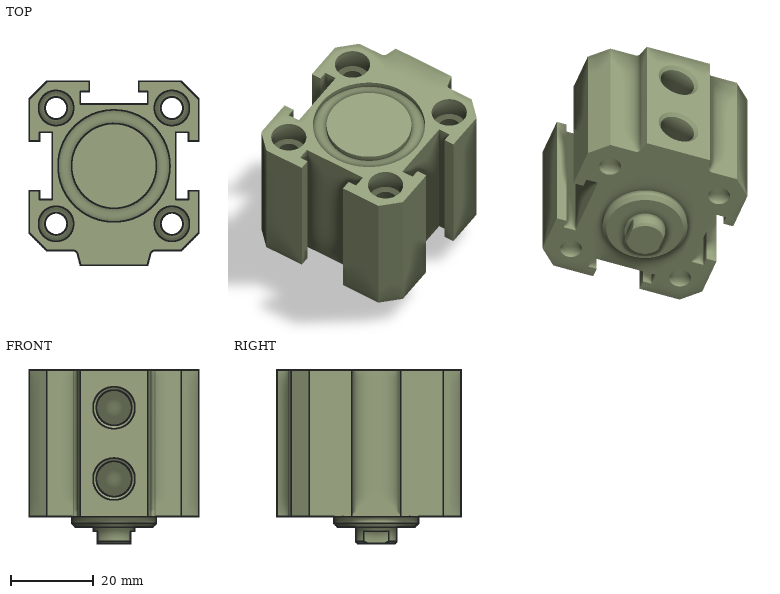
import cadquery as cq
import math


side = 41.0
half_side = side / 2
body_height = 35.5
corner_chamfer = 4.25
overall_depth = 44.5
boss_face_y = half_side - overall_depth
boss_half_width = 8.1
boss_flank_angle = 15.0
boss_root_radius = 1.0
root_margin = 0.45

slot_opening = 11.93
slot_inner_width = 16.2
slot_lip = 2.55
slot_depth = 5.5
slot_angles = (0, 90, 180)

mount_pitch = 28.0
mount_diameter = 5.3
counterbore_diameter = 8.5
counterbore_depth = 5.45

port_diameter = 8.55
port_mouth_diameter = 10.15
port_chamfer = (port_mouth_diameter - port_diameter) / 2
port_depth = 10.7
port_drops = (9.15, 26.4)

recess_diameter = 27.1
recess_depth = 1.5

rod_diameter = 20.5
rod_overhang = 2.5
rod_chamfer = 0.95
stem_diameter = 10.0
stem_length = 4.0
stem_chamfer = 0.55
stem_flats_width = 8.05
stem_round_length = 1.02


def make_profile():
    """Chamfered square column with the port boss on its -Y side."""
    block = (
        cq.Workplane("XY")
        .rect(side, side)
        .extrude(body_height)
        .edges("|Z")
        .chamfer(corner_chamfer)
    )
    boss_height = -half_side - boss_face_y
    boss_root_half = boss_half_width + boss_height * math.tan(math.radians(boss_flank_angle))
    boss = (
        cq.Workplane("XY")
        .polyline([
            (-boss_half_width, boss_face_y),
            (boss_half_width, boss_face_y),
            (boss_root_half, -half_side),
            (boss_root_half, 0),
            (-boss_root_half, 0),
            (-boss_root_half, -half_side),
        ])
        .close()
        .extrude(body_height)
    )
    root_edges = cq.selectors.BoxSelector(
        (-boss_root_half - root_margin, -half_side - root_margin, 0),
        (boss_root_half + root_margin, -half_side + root_margin, body_height),
    )
    return block.union(boss).edges("|Z").edges(root_edges).fillet(boss_root_radius)


def make_slot(angle):
    """Full-height T-slot open to the side that faces the given angle."""
    opening = cq.Workplane("XY").box(
        slot_depth, slot_opening, body_height, centered=(False, True, False)
    )
    inner = cq.Workplane("XY").box(
        slot_depth - slot_lip, slot_inner_width, body_height, centered=(False, True, False)
    )
    slot = opening.union(inner).translate((half_side - slot_depth, 0, 0))
    return slot.rotate((0, 0, 0), (0, 0, 1), angle)


def make_port(drop):
    """Blind port with a chamfered mouth, entering from the boss face."""
    port_plane = cq.Plane(
        origin=(0, boss_face_y, body_height - drop), xDir=(1, 0, 0), normal=(0, 1, 0)
    )
    bore = cq.Workplane(port_plane).circle(port_diameter / 2).extrude(port_depth)
    mouth = cq.Workplane(obj=cq.Solid.makeCone(
        port_mouth_diameter / 2, port_diameter / 2, port_chamfer, port_plane.origin, port_plane.zDir
    ))
    return bore.union(mouth)


def make_housing():
    housing = make_profile()
    for angle in slot_angles:
        housing = housing.cut(make_slot(angle))
    for drop in port_drops:
        housing = housing.cut(make_port(drop))
    housing = (
        housing.faces(">Z")
        .workplane(origin=(0, 0, body_height))
        .rect(mount_pitch, mount_pitch, forConstruction=True)
        .vertices()
        .cboreHole(mount_diameter, counterbore_diameter, counterbore_depth)
    )
    recess = (
        cq.Workplane("XY")
        .workplane(offset=body_height - recess_depth)
        .circle(recess_diameter / 2)
        .extrude(recess_depth)
    )
    rod_bore = cq.Workplane("XY").circle(rod_diameter / 2).extrude(body_height)
    return housing.cut(recess).cut(rod_bore)


def make_piston_rod():
    """Rod flush with the housing top, with a flatted stem below it."""
    rod = (
        cq.Workplane("XY")
        .workplane(offset=-rod_overhang)
        .circle(rod_diameter / 2)
        .extrude(rod_overhang + body_height)
        .faces("<Z")
        .chamfer(rod_chamfer)
    )
    stem = (
        cq.Workplane("XY")
        .workplane(offset=-rod_overhang)
        .circle(stem_diameter / 2)
        .extrude(-stem_length)
        .faces("<Z")
        .chamfer(stem_chamfer)
    )
    flats_length = stem_length - stem_round_length
    flats_envelope = (
        cq.Workplane("XY")
        .workplane(offset=-rod_overhang - stem_length)
        .rect(stem_flats_width, stem_diameter)
        .extrude(flats_length)
    )
    round_envelope = (
        cq.Workplane("XY")
        .workplane(offset=-rod_overhang - stem_round_length)
        .rect(stem_diameter, stem_diameter)
        .extrude(stem_round_length)
    )
    return rod.union(stem.intersect(flats_envelope.union(round_envelope)))


housing = make_housing()
piston_rod = make_piston_rod()
result = cq.Compound.makeCompound([housing.val(), piston_rod.val()])